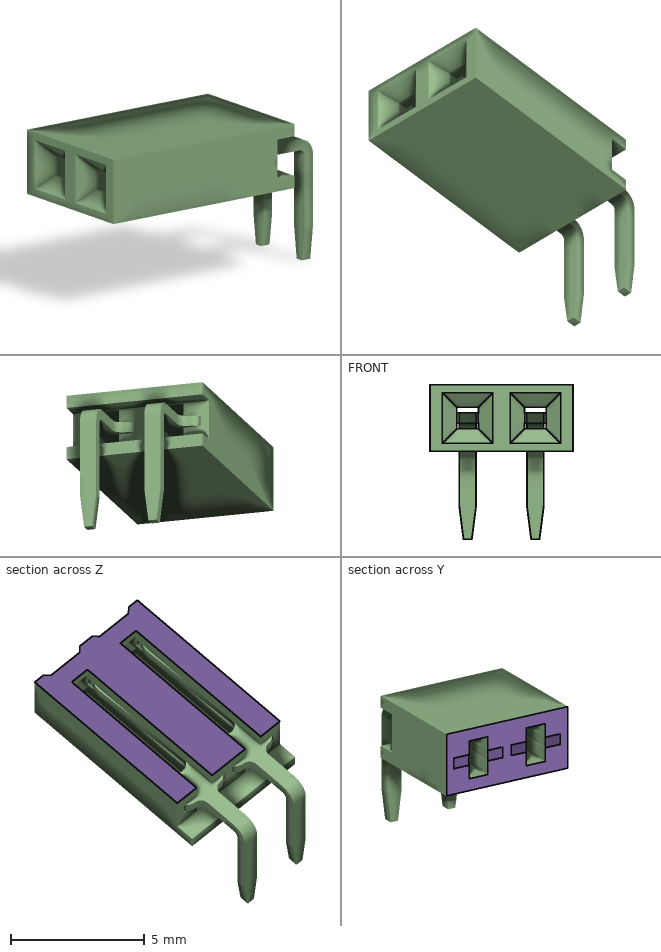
import cadquery as cq
import math

contact_count = 2
pitch = 2.54
end_margin = 0.15
housing_width = contact_count * pitch + 2 * end_margin
housing_height = 2.5
housing_length = 8.5
overall_length = 10.2
overall_height = 5.8

notch_depth = 0.8
lip_thickness = 0.48
notch_face_y = housing_length - notch_depth

funnel_mouth = 1.9
throat_size = 0.8
funnel_depth = (funnel_mouth - throat_size) / 2
throat_length = 0.43
chamber_start_y = funnel_depth + throat_length
chamber_height = 1.5

sheet_thickness = 0.4
leg_width = 0.64
leg_tip_width = leg_width / 2
leg_taper_length = 1.25
bend_outer_radius = 0.6
bend_inner_radius = bend_outer_radius - sheet_thickness
leg_bottom_z = housing_height / 2 - overall_height
flare_start_y = 8.2
flare_radius = 0.35
shoulder_radius = 0.4
fork_half_width = leg_width / 2 + flare_radius + shoulder_radius
fork_tip_clearance = 0.1
fork_tip_y = chamber_start_y + fork_tip_clearance
contact_gap = 0.64
crotch_radius = 0.5
crotch_y = 6.5
lead_in_radius = 0.9
lead_in_angle = math.radians(45)

diagonal = math.sqrt(0.5)

contact_positions = [(i - (contact_count - 1) / 2) * pitch for i in range(contact_count)]


def centred_box(size_x, size_z, start_y, end_y):
    """Box centred on the Y axis, running from start_y to end_y."""
    length = end_y - start_y
    return cq.Workplane("XY").box(size_x, length, size_z).translate((0, start_y + length / 2, 0))


def make_cavity():
    """Pin funnel, throat, tall chamber and the wide slot that holds the fork."""
    funnel = (
        cq.Workplane("XZ")
        .rect(funnel_mouth, funnel_mouth)
        .workplane(offset=-funnel_depth)
        .rect(throat_size, throat_size)
        .loft(ruled=True)
    )
    throat = centred_box(throat_size, throat_size, funnel_depth, chamber_start_y)
    chamber = centred_box(throat_size, chamber_height, chamber_start_y, notch_face_y)
    fork_slot = centred_box(2 * fork_half_width, sheet_thickness, chamber_start_y, notch_face_y)
    return funnel.union(throat).union(chamber).union(fork_slot)


def make_housing():
    body = centred_box(housing_width, housing_height, 0, housing_length)
    notch_height = housing_height - 2 * lip_thickness
    body = body.cut(centred_box(housing_width, notch_height, notch_face_y, housing_length))
    for x in contact_positions:
        body = body.cut(make_cavity().translate((x, 0, 0)))
    return body


def make_fork():
    """Two spring arms with curved lead-ins, joined behind a round crotch."""
    half_leg = leg_width / 2
    half_gap = contact_gap / 2
    nose_y = fork_tip_y + lead_in_radius * math.sin(lead_in_angle)
    flare_end_y = flare_start_y - flare_radius
    shoulder_end_y = flare_end_y - shoulder_radius
    flare_mid = (
        half_leg + flare_radius * (1 - diagonal),
        flare_start_y - flare_radius * diagonal,
    )
    shoulder_mid = (
        fork_half_width - shoulder_radius * (1 - diagonal),
        flare_end_y - shoulder_radius * (1 - diagonal),
    )

    def lead_in_point(angle):
        """Point on the right arm's lead-in, at an angle forward of the contact nose."""
        x = half_gap + lead_in_radius * (1 - math.cos(angle))
        y = nose_y - lead_in_radius * math.sin(angle)
        return (x, y)

    lead_in_mid = lead_in_point(lead_in_angle / 2)
    lead_in_end = lead_in_point(lead_in_angle)
    crotch_mid = (crotch_radius * diagonal, crotch_y - crotch_radius * (1 - diagonal))
    crotch_end = (crotch_radius, crotch_y - crotch_radius)
    outline = (
        cq.Workplane("XY", origin=(0, 0, -sheet_thickness / 2))
        .moveTo(0, flare_start_y)
        .lineTo(half_leg, flare_start_y)
        .threePointArc(flare_mid, (half_leg + flare_radius, flare_end_y))
        .threePointArc(shoulder_mid, (fork_half_width, shoulder_end_y))
        .lineTo(fork_half_width, fork_tip_y)
        .lineTo(*lead_in_end)
        .threePointArc(lead_in_mid, (half_gap, nose_y))
        .lineTo(*crotch_end)
        .threePointArc(crotch_mid, (0, crotch_y))
        .close()
    )
    right_half = outline.extrude(sheet_thickness)
    return right_half.union(right_half.mirror("YZ")).clean()


def make_leg():
    """Strip bent down through a right angle, with a tapered tip."""
    top_z = sheet_thickness / 2
    inner_y = overall_length - sheet_thickness
    bend_y = overall_length - bend_outer_radius
    bend_z = top_z - bend_outer_radius
    outer_mid = (bend_y + bend_outer_radius * diagonal, bend_z + bend_outer_radius * diagonal)
    inner_mid = (bend_y + bend_inner_radius * diagonal, bend_z + bend_inner_radius * diagonal)
    strip = (
        cq.Workplane("YZ")
        .moveTo(flare_start_y, top_z)
        .lineTo(bend_y, top_z)
        .threePointArc(outer_mid, (overall_length, bend_z))
        .lineTo(overall_length, leg_bottom_z)
        .lineTo(inner_y, leg_bottom_z)
        .lineTo(inner_y, bend_z)
        .threePointArc(inner_mid, (bend_y, -top_z))
        .lineTo(flare_start_y, -top_z)
        .close()
        .extrude(leg_width / 2, both=True)
    )
    taper_z = leg_bottom_z + leg_taper_length
    front_profile = (
        cq.Workplane("XZ")
        .moveTo(-leg_width / 2, top_z)
        .lineTo(leg_width / 2, top_z)
        .lineTo(leg_width / 2, taper_z)
        .lineTo(leg_tip_width / 2, leg_bottom_z)
        .lineTo(-leg_tip_width / 2, leg_bottom_z)
        .lineTo(-leg_width / 2, taper_z)
        .close()
        .extrude(-overall_length)
    )
    return strip.intersect(front_profile)


def make_terminal():
    return make_fork().union(make_leg())


housing = make_housing()
terminals = [make_terminal().translate((x, 0, 0)) for x in contact_positions]

result = cq.Compound.makeCompound([housing.val(), *[terminal.val() for terminal in terminals]])